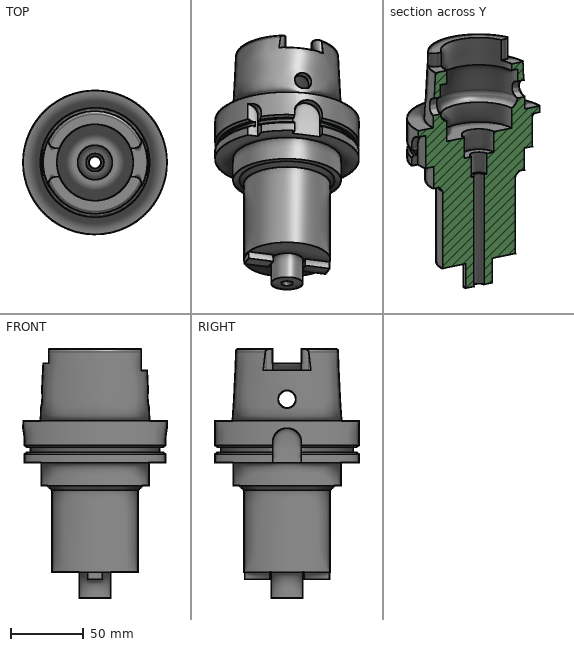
import cadquery as cq
import math


shank_length = 50.0
shank_base_radius = 38.0
taper_ratio = 1 / 10
shank_top_radius = shank_base_radius - shank_length * taper_ratio / 2
rim_fillet = 2.0

flange_radius = 50.0
flange_thickness = 29.0
groove_floor_radius = 46.0
groove_floor_width = 3.3
groove_center_z = -20.0
groove_chamfer_height = 1.4
groove_chamfer_depth = 2.0

collar_radius = 37.5
collar_bottom_z = -45.0
body_radius = 30.0
body_bottom_z = -105.0
neck_cone_height = 3.0
spigot_radius = 11.0
spigot_length = 18.0
spigot_bottom_z = body_bottom_z - spigot_length

mouth_radius = 26.5
mouth_bottom_z = 30.0
chamber_radius = 31.5
chamber_wall_bottom_z = 10.0
chamber_fillet = 8.0
bore_floor_z = -12.0
recess_radius = 12.0
recess_depth = 15.0
step_radius = 6.25
step_depth = 15.0
through_radius = 4.1

cross_hole_radius = 6.0
cross_hole_z = 15.0

slot_width = 20.0
slot_depth_minus_x = 10.0
slot_depth_plus_x = 15.0
post_reach = 32.25
post_fillet = 4.75

keyway_width = 20.0
keyway_top_z = -5.0
keyway_floor_x = 44.0

notch_width = 16.0
notch_edge_y = 31.3
notch_top_z = -5.5
notch_floor_x = -31.8

key_width = 10.0
key_height = 5.0
key_outer_y = 29.5
key_inner_y = 11.75


def revolved(outline):
    """Solid of revolution about Z from a closed (radius, z) outline."""
    return outline.revolve(360, (0, 0, 0), (0, 1, 0))


def box(x_range, y_range, z_range):
    size = [high - low for low, high in (x_range, y_range, z_range)]
    corner = (x_range[0], y_range[0], z_range[0])
    return cq.Workplane("XY").box(*size, centered=False).translate(corner)


def turned_body():
    """Outside shape without slots and keyways, with the shank rim rounded."""
    groove_top_z = groove_center_z + groove_floor_width / 2
    groove_bottom_z = groove_center_z - groove_floor_width / 2
    lip_radius = flange_radius - groove_chamfer_depth
    profile = [
        (0, shank_length),
        (shank_top_radius, shank_length),
        (shank_base_radius, 0),
        (flange_radius, 0),
        (flange_radius, groove_top_z + groove_chamfer_height),
        (lip_radius, groove_top_z),
        (groove_floor_radius, groove_top_z),
        (groove_floor_radius, groove_bottom_z),
        (lip_radius, groove_bottom_z),
        (flange_radius, groove_bottom_z - groove_chamfer_height),
        (flange_radius, -flange_thickness),
        (collar_radius, -flange_thickness),
        (collar_radius, collar_bottom_z),
        (body_radius + neck_cone_height, collar_bottom_z),
        (body_radius, collar_bottom_z - neck_cone_height),
        (body_radius, body_bottom_z),
        (spigot_radius, body_bottom_z),
        (spigot_radius, spigot_bottom_z),
        (0, spigot_bottom_z),
    ]
    return revolved(cq.Workplane("XZ").polyline(profile).close()).faces(">Z").edges().fillet(rim_fillet)


def inner_bores():
    """Clamping chamber of the hollow shank and the stepped bore down through the spigot."""
    recess_floor_z = bore_floor_z - recess_depth
    step_floor_z = recess_floor_z - step_depth
    fillet_center_radius = chamber_radius - chamber_fillet
    end_angle = math.acos((mouth_radius - fillet_center_radius) / chamber_fillet)
    mid_angle = end_angle / 2
    fillet_mid = (
        fillet_center_radius + chamber_fillet * math.cos(mid_angle),
        chamber_wall_bottom_z - chamber_fillet * math.sin(mid_angle),
    )
    fillet_end_z = chamber_wall_bottom_z - chamber_fillet * math.sin(end_angle)
    outline = (
        cq.Workplane("XZ")
        .moveTo(0, shank_length)
        .lineTo(mouth_radius, shank_length)
        .lineTo(mouth_radius, mouth_bottom_z)
        .lineTo(chamber_radius, mouth_bottom_z)
        .lineTo(chamber_radius, chamber_wall_bottom_z)
        .threePointArc(fillet_mid, (mouth_radius, fillet_end_z))
        .lineTo(mouth_radius, bore_floor_z)
        .lineTo(recess_radius, bore_floor_z)
        .lineTo(recess_radius, recess_floor_z)
        .lineTo(step_radius, recess_floor_z)
        .lineTo(step_radius, step_floor_z)
        .lineTo(through_radius, step_floor_z)
        .lineTo(through_radius, spigot_bottom_z)
        .lineTo(0, spigot_bottom_z)
        .close()
    )
    return revolved(outline)


def cross_hole():
    """Hole along X through both shank walls."""
    hole = cq.Workplane("YZ", origin=(-flange_radius, 0, cross_hole_z)).circle(cross_hole_radius)
    return hole.extrude(2 * flange_radius)


def drive_slot(side, depth):
    """Slot through one side of the rim, flared outwards by the rounded post corners."""
    half = slot_width / 2
    fillet_start_x = post_reach - post_fillet
    fillet_end_y = half + post_fillet
    corner_x = fillet_start_x + post_fillet * math.sin(math.pi / 4)
    corner_y = fillet_end_y - post_fillet * math.cos(math.pi / 4)
    slot = (
        cq.Workplane("XY", origin=(0, 0, shank_length - depth))
        .moveTo(0, half)
        .lineTo(fillet_start_x, half)
        .threePointArc((corner_x, corner_y), (post_reach, fillet_end_y))
        .lineTo(post_reach, shank_base_radius)
        .lineTo(shank_base_radius, shank_base_radius)
        .lineTo(shank_base_radius, -shank_base_radius)
        .lineTo(post_reach, -shank_base_radius)
        .lineTo(post_reach, -fillet_end_y)
        .threePointArc((corner_x, -corner_y), (fillet_start_x, -half))
        .lineTo(0, -half)
        .close()
        .extrude(depth)
    )
    return slot if side > 0 else slot.mirror("YZ")


def round_topped_cut(x_range, center_y, width, top_z):
    """Cut along X, open at the flange bottom and closed by a half round at the top."""
    radius = width / 2
    arc_center_z = top_z - radius
    x_start, x_end = x_range
    straight = box(x_range, (center_y - radius, center_y + radius), (-flange_thickness, arc_center_z))
    arch = cq.Workplane("YZ", origin=(x_start, center_y, arc_center_z)).circle(radius)
    return straight.union(arch.extrude(x_end - x_start))


def drive_keys():
    """Two keys on the lower body face, beside the spigot."""
    half = key_width / 2
    z_range = (body_bottom_z - key_height, body_bottom_z)
    key = box((-half, half), (key_inner_y, key_outer_y), z_range)
    return key.union(key.mirror("XZ"))


result = turned_body().cut(inner_bores()).cut(cross_hole())
result = result.cut(drive_slot(-1, slot_depth_minus_x))
result = result.cut(drive_slot(1, slot_depth_plus_x))

keyway = round_topped_cut((keyway_floor_x, flange_radius), 0, keyway_width, keyway_top_z)
result = result.cut(keyway).cut(keyway.mirror("YZ"))

notch_range = (-flange_radius, notch_floor_x)
notch_center_y = notch_edge_y + notch_width / 2
result = result.cut(round_topped_cut(notch_range, notch_center_y, notch_width, notch_top_z))

result = result.union(drive_keys())